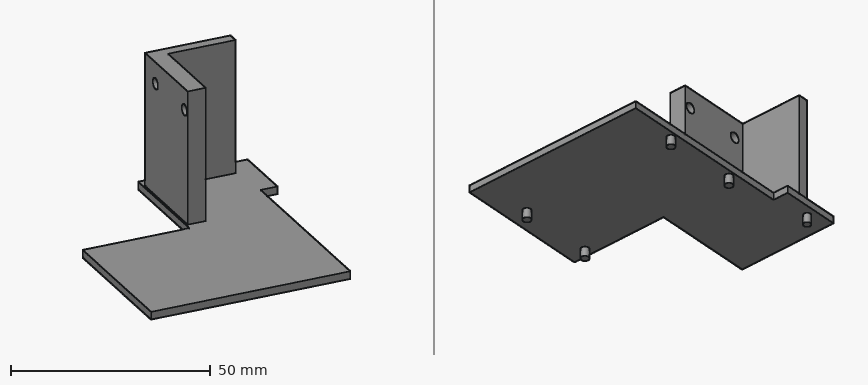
import cadquery as cq

LENGTH = 70.0
DEPTH = 60.0
TOTAL_HEIGHT = 42.0
PLATE_THICKNESS = 2.2
NOTCH_LENGTH = 29.95
NOTCH_DEPTH = 29.6
TAB_LENGTH = 17.5
TAB_DEPTH = 4.7

PIN_LENGTH = 2.9
TAB_PIN_DIAMETER = 2.1
TAB_PIN_X = 7.0
TAB_PIN_BACK_OFFSET = 2.65
MAIN_PIN_DIAMETER = 2.3
MAIN_PIN_XS = (32.55, 54.7)
MAIN_PIN_YS = (5.75, 53.6)

WALL_LEFT = 3.0
FRONT_WALL_LENGTH = 25.0
FRONT_WALL_THICKNESS = 5.0
FRONT_WALL_SETBACK = 0.5
SIDE_WALL_LENGTH = 18.75
SIDE_WALL_THICKNESS = 3.0

HOLE_DIAMETER = 3.0
HOLE_XS = (9.1, 26.05)
HOLE_TOP_OFFSET = 5.95

plate_top = PIN_LENGTH + PLATE_THICKNESS
wall_height = TOTAL_HEIGHT - plate_top
front_wall_y = NOTCH_DEPTH + FRONT_WALL_SETBACK
front_wall_back = front_wall_y + FRONT_WALL_THICKNESS


def block(corner, size):
    """Box placed by its left, front, lower corner."""
    return cq.Workplane("XY").box(*size, centered=False).translate(corner)


def make_plate():
    shoulder_y = DEPTH - TAB_DEPTH
    outline = [
        (NOTCH_LENGTH, 0),
        (LENGTH, 0),
        (LENGTH, shoulder_y),
        (TAB_LENGTH, shoulder_y),
        (TAB_LENGTH, DEPTH),
        (0, DEPTH),
        (0, NOTCH_DEPTH),
        (NOTCH_LENGTH, NOTCH_DEPTH),
    ]
    plate = cq.Workplane("XY").workplane(offset=PIN_LENGTH)
    return plate.polyline(outline).close().extrude(PLATE_THICKNESS)


def make_walls():
    front_wall = block(
        (WALL_LEFT, front_wall_y, plate_top),
        (FRONT_WALL_LENGTH, FRONT_WALL_THICKNESS, wall_height),
    )
    side_wall = block(
        (WALL_LEFT, front_wall_back, plate_top),
        (SIDE_WALL_THICKNESS, SIDE_WALL_LENGTH, wall_height),
    )
    return front_wall.union(side_wall)


def make_pins(centers, diameter):
    return cq.Workplane("XY").pushPoints(centers).circle(diameter / 2).extrude(PIN_LENGTH)


def make_wall_holes():
    centers = [(x, TOTAL_HEIGHT - HOLE_TOP_OFFSET) for x in HOLE_XS]
    start = cq.Workplane("XZ", origin=(0, front_wall_y, 0))
    return start.pushPoints(centers).circle(HOLE_DIAMETER / 2).extrude(-FRONT_WALL_THICKNESS)


tab_pin_center = (TAB_PIN_X, DEPTH - TAB_PIN_BACK_OFFSET)
main_pin_centers = [(x, y) for x in MAIN_PIN_XS for y in MAIN_PIN_YS]

result = (
    make_plate()
    .union(make_walls())
    .union(make_pins([tab_pin_center], TAB_PIN_DIAMETER))
    .union(make_pins(main_pin_centers, MAIN_PIN_DIAMETER))
    .cut(make_wall_holes())
)